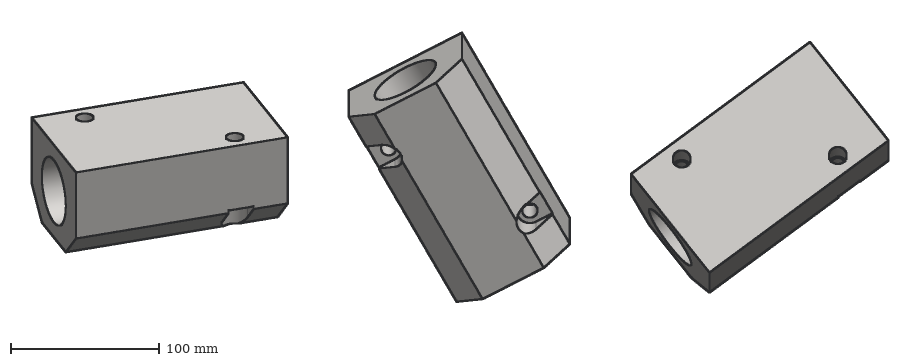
import cadquery as cq

WIDTH = 87.0
LENGTH = 152.0
HEIGHT = 70.0
CORNER_CHAMFER = 20.0

BORE_DIAMETER = 47.0
BORE_HEIGHT = HEIGHT / 2

HOLE_SPACING_X = 62.0
HOLE_SPACING_Y = 85.0
THREAD_DIAMETER = 12.0
CORE_DIAMETER = 10.3
THREAD_DEPTH = 24.0

SLOT_WIDTH = 18.0
SLOT_TOP = 22.0


def make_block():
    """Block with its two lower long edges bevelled."""
    half_width = WIDTH / 2
    half_flat = half_width - CORNER_CHAMFER
    return (
        cq.Workplane("XZ")
        .moveTo(-half_flat, 0)
        .lineTo(half_flat, 0)
        .lineTo(half_width, CORNER_CHAMFER)
        .lineTo(half_width, HEIGHT)
        .lineTo(-half_width, HEIGHT)
        .lineTo(-half_width, CORNER_CHAMFER)
        .close()
        .extrude(LENGTH / 2, both=True)
    )


def make_bore():
    """Cylinder removed along the full length."""
    return (
        cq.Workplane("XZ")
        .center(0, BORE_HEIGHT)
        .circle(BORE_DIAMETER / 2)
        .extrude(LENGTH / 2, both=True)
    )


def make_bolt_cut(side):
    """Stepped hole and side slot; side is -1 for -X/-Y, +1 for +X/+Y."""
    hole_x = side * HOLE_SPACING_X / 2
    hole_y = side * HOLE_SPACING_Y / 2
    outer_x = side * WIDTH / 2
    half_slot = SLOT_WIDTH / 2

    core = cq.Workplane("XY").center(hole_x, hole_y).circle(CORE_DIAMETER / 2).extrude(HEIGHT)
    thread = (
        cq.Workplane("XY", origin=(hole_x, hole_y, HEIGHT - THREAD_DEPTH))
        .circle(THREAD_DIAMETER / 2)
        .extrude(THREAD_DEPTH)
    )
    slot = (
        cq.Workplane("XY")
        .moveTo(outer_x, hole_y - half_slot)
        .lineTo(hole_x, hole_y - half_slot)
        .threePointArc((hole_x - side * half_slot, hole_y), (hole_x, hole_y + half_slot))
        .lineTo(outer_x, hole_y + half_slot)
        .close()
        .extrude(SLOT_TOP)
    )
    return core.union(thread).union(slot)


result = make_block().cut(make_bore())
for side in (-1, 1):
    result = result.cut(make_bolt_cut(side))